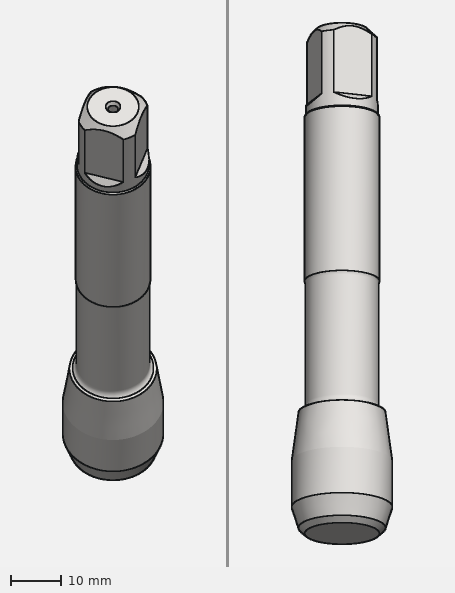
import cadquery as cq
import math

TOTAL_HEIGHT = 105.0
SHANK_TOP = 87.2
NECK_TOP = 52.6
HEAD_TOP = 25.4
HEAD_RIM = 25.2
BAND_TOP = 15.0
BAND_BOTTOM = 5.5
NOSE_BOTTOM = 1.2

HEAD_RADIUS = 20.2 / 2
HEAD_RIM_RADIUS = 8.7
HEAD_TOP_RADIUS = 8.1
NOSE_RADIUS = 8.7
HEAD_BOTTOM_RADIUS = 7.5

SHANK_RADIUS = 15.0 / 2
SHANK_CHAMFER = 0.3
NECK_RADIUS = 14.7 / 2
NECK_FILLET = 1.7

DRIVE_RADIUS = 14.4 / 2
DRIVE_TIP_RADIUS = 5.1
DRIVE_FLAT = 11.9
DRIVE_FLAT_BOTTOM = 90.0
DRIVE_TIP_CHAMFER = DRIVE_RADIUS - DRIVE_TIP_RADIUS

HOLE_RADIUS = 2.0 / 2
HOLE_MOUTH_RADIUS = 1.5
HOLE_DEPTH = 3.2
MOUTH_HALF_ANGLE = 30.0
DRILL_HALF_ANGLE = 60.0


def revolve_about_z(outline):
    """Close a radius-height outline and turn it around the Z axis."""
    return outline.close().revolve(360, (0, 0, 0), (0, 1, 0))


def neck_fillet_rise(radius):
    """Length along Z that the neck fillet takes to reach the given radius."""
    inset = NECK_FILLET - (radius - NECK_RADIUS)
    return math.sqrt(NECK_FILLET**2 - inset**2)


def make_head():
    """Head with a straight band between two cones, chamfered at both ends."""
    outline = (
        cq.Workplane("XZ")
        .lineTo(HEAD_BOTTOM_RADIUS, 0)
        .lineTo(NOSE_RADIUS, NOSE_BOTTOM)
        .lineTo(HEAD_RADIUS, BAND_BOTTOM)
        .lineTo(HEAD_RADIUS, BAND_TOP)
        .lineTo(HEAD_RIM_RADIUS, HEAD_RIM)
        .lineTo(HEAD_TOP_RADIUS, HEAD_TOP)
        .lineTo(0, HEAD_TOP)
    )
    return revolve_about_z(outline)


def make_turned_shank():
    """Neck with a fillet at each end, shank, and the round blank of the drive."""
    neck_start = HEAD_TOP + neck_fillet_rise(HEAD_TOP_RADIUS)
    neck_end = NECK_TOP - neck_fillet_rise(SHANK_RADIUS)
    outline = (
        cq.Workplane("XZ")
        .moveTo(0, HEAD_TOP)
        .lineTo(HEAD_TOP_RADIUS, HEAD_TOP)
        .radiusArc((NECK_RADIUS, neck_start), NECK_FILLET)
        .lineTo(NECK_RADIUS, neck_end)
        .radiusArc((SHANK_RADIUS, NECK_TOP), NECK_FILLET)
        .lineTo(SHANK_RADIUS, SHANK_TOP - SHANK_CHAMFER)
        .lineTo(DRIVE_RADIUS, SHANK_TOP)
        .lineTo(DRIVE_RADIUS, TOTAL_HEIGHT - DRIVE_TIP_CHAMFER)
        .lineTo(DRIVE_TIP_RADIUS, TOTAL_HEIGHT)
        .lineTo(0, TOTAL_HEIGHT)
    )
    return revolve_about_z(outline)


def make_flat_cutter(angle):
    """Cutter for one drive flat, with a 45 degree run-out at its foot."""
    flat_distance = DRIVE_FLAT / 2
    reach = 2 * DRIVE_RADIUS - flat_distance
    return (
        cq.Workplane("XZ")
        .moveTo(flat_distance, DRIVE_FLAT_BOTTOM)
        .lineTo(flat_distance + reach, DRIVE_FLAT_BOTTOM - reach)
        .lineTo(flat_distance + reach, TOTAL_HEIGHT)
        .lineTo(flat_distance, TOTAL_HEIGHT)
        .close()
        .extrude(DRIVE_RADIUS, both=True)
        .rotate((0, 0, 0), (0, 0, 1), angle)
    )


def make_center_hole():
    """Countersunk drilled hole with a conical bottom."""
    mouth_depth = (HOLE_MOUTH_RADIUS - HOLE_RADIUS) / math.tan(math.radians(MOUTH_HALF_ANGLE))
    point_length = HOLE_RADIUS / math.tan(math.radians(DRILL_HALF_ANGLE))
    outline = (
        cq.Workplane("XZ")
        .moveTo(0, TOTAL_HEIGHT)
        .lineTo(HOLE_MOUTH_RADIUS, TOTAL_HEIGHT)
        .lineTo(HOLE_RADIUS, TOTAL_HEIGHT - mouth_depth)
        .lineTo(HOLE_RADIUS, TOTAL_HEIGHT - HOLE_DEPTH)
        .lineTo(0, TOTAL_HEIGHT - HOLE_DEPTH - point_length)
    )
    return revolve_about_z(outline)


def make_shank():
    """Shank with four drive flats and a center hole."""
    body = make_turned_shank()
    for angle in (0, 90, 180, 270):
        body = body.cut(make_flat_cutter(angle))
    return body.cut(make_center_hole())


head = make_head()
shank = make_shank()
result = cq.Compound.makeCompound([head.val(), shank.val()])